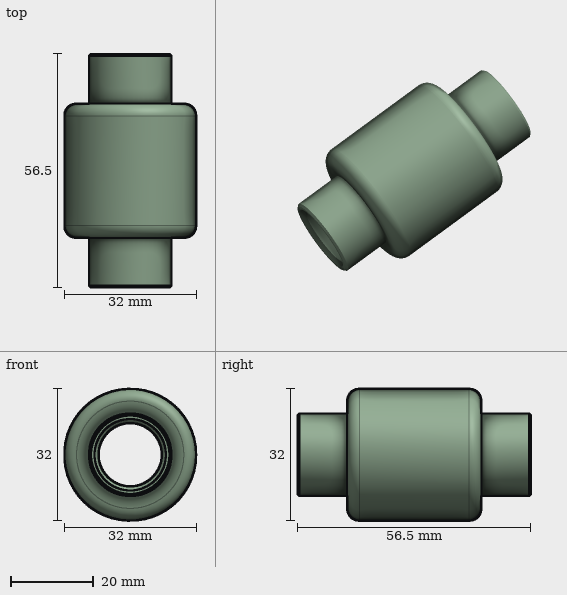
import cadquery as cq

total_length = 56.5
body_diameter = 32.0
body_length = 32.5
body_edge_radius = 3.0
tube_diameter = 20.0
bore_diameter = 15.25
outer_chamfer = 0.5
bore_chamfer = 1.0


def cylinder_along_y(diameter, length):
    """Cylinder centred on the origin with its axis along Y."""
    return cq.Workplane("XZ", origin=(0, length / 2, 0)).circle(diameter / 2).extrude(length)


body = cylinder_along_y(body_diameter, body_length).faces("<Y or >Y").edges().fillet(body_edge_radius)

tube = cylinder_along_y(tube_diameter, total_length).faces("<Y or >Y").edges().chamfer(outer_chamfer)

bore = cylinder_along_y(bore_diameter, total_length)
result = body.union(tube).cut(bore)
bore_mouths = cq.selectors.RadiusNthSelector(0)
result = result.faces("<Y or >Y").edges(bore_mouths).chamfer(bore_chamfer)